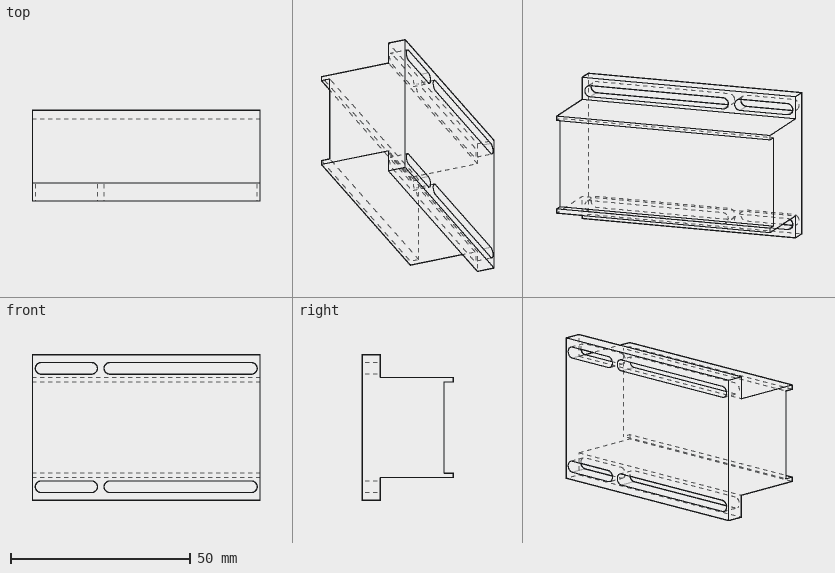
import cadquery as cq

length = 63.5
depth = 25.4
plate_height = 40.64

plate_thickness = 5.08
body_height = 27.94
lip_depth = 2.54
lip_thickness = 1.27

slot_width = 3.175
slot_edge_distance = 3.81
slot_end_margin = 0.85
slot_gap = 1.9
short_slot_length = 17.25
long_slot_length = length - 2 * slot_end_margin - slot_gap - short_slot_length


def make_plate():
    """Flat plate with its front face on Y = 0."""
    return cq.Workplane("XY").box(
        length, plate_thickness, plate_height, centered=(True, False, True)
    )


def make_body():
    """Block behind the plate, with a shallow channel along X leaving two lips."""
    block = cq.Workplane("XY").box(
        length, depth, body_height, centered=(True, False, True)
    )
    channel = (
        cq.Workplane("XY")
        .box(length, lip_depth, body_height - 2 * lip_thickness, centered=(True, False, True))
        .translate((0, depth - lip_depth, 0))
    )
    return block.cut(channel)


def make_slot(start_x, slot_length, center_z):
    """Round-ended cutter through the plate, starting at start_x."""
    return (
        cq.Workplane("XZ")
        .center(start_x + slot_length / 2, center_z)
        .slot2D(slot_length, slot_width)
        .extrude(-plate_thickness)
    )


result = make_plate().union(make_body())

short_slot_start = -length / 2 + slot_end_margin
long_slot_start = short_slot_start + short_slot_length + slot_gap
slot_center_z = plate_height / 2 - slot_edge_distance

for center_z in (slot_center_z, -slot_center_z):
    result = result.cut(make_slot(short_slot_start, short_slot_length, center_z))
    result = result.cut(make_slot(long_slot_start, long_slot_length, center_z))